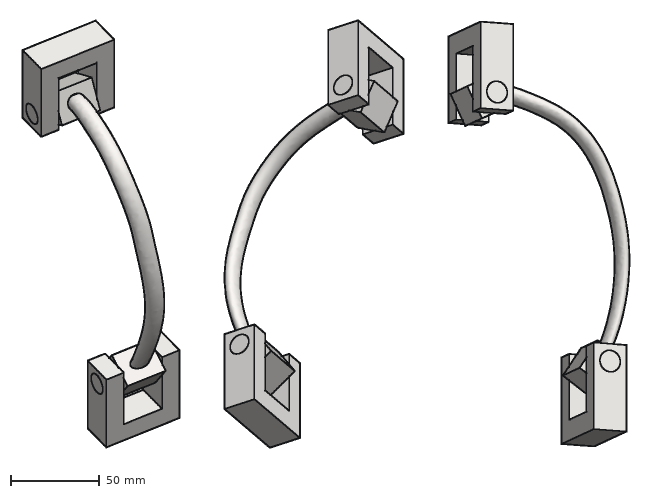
import cadquery as cq
import math

clevis_width = 20.0
clevis_span = 49.0
clevis_height = 50.0
slot_width = 25.5
bridge_thickness = 12.0
overall_height = 230.0

block_side = 20.0
pin_diameter = 12.5
pin_to_arm_end = clevis_width / 2
lower_tilt = -33.7
upper_tilt = 26.6

upper_pin_x = -69.0
pin_to_bridge_face = clevis_height - pin_to_arm_end
upper_pin_z = overall_height - 2 * pin_to_bridge_face

hose_start_width = 11.5
hose_start_thickness = 10.1
hose_end_width = 12.5
hose_end_thickness = 7.0
hose_overlap = 1.8
hose_start_y = -0.2
hose_end_y = 0.7
hose_section_count = 13
hose_waypoints = [
    (-47.0, -0.5, 152.7),
    (-30.3, -1.0, 147.4),
    (-19.0, -1.4, 141.8),
    (-8.0, -1.5, 133.0),
    (3.5, -0.5, 118.0),
    (12.0, 0.5, 97.2),
    (17.5, 2.0, 72.9),
    (17.7, 2.8, 52.2),
    (13.8, 1.8, 31.3),
]


def make_clevis(pin_x, pin_z, bridge_side):
    """Clevis around a pin axis; bridge_side is +1 for a bridge above, -1 for below."""
    center_z = pin_z + bridge_side * (clevis_height / 2 - pin_to_arm_end)
    frame = cq.Workplane().box(clevis_width, clevis_span, clevis_height)
    slot = cq.Workplane().box(clevis_width, slot_width, clevis_height)
    slot = slot.translate((0, 0, -bridge_side * bridge_thickness))
    clevis = frame.cut(slot).translate((pin_x, 0, center_z))
    return clevis.cut(make_pin(pin_x, pin_z))


def make_pin(pin_x, pin_z):
    """Round bar along Y, flush with the outer faces of the clevis arms."""
    pin = cq.Workplane("XZ").circle(pin_diameter / 2).extrude(clevis_span / 2, both=True)
    return pin.translate((pin_x, 0, pin_z))


def make_trunnion(pin_x, pin_z, tilt):
    """Tilted square block that fills the clevis slot, with its pin ends."""
    block = cq.Workplane().box(block_side, slot_width, block_side)
    block = block.rotate((0, 0, 0), (0, 1, 0), -tilt).translate((pin_x, 0, pin_z))
    return block.union(make_pin(pin_x, pin_z))


def make_hose_section(path, fraction, width, thickness):
    """Elliptical wire square to the path, with its width as near to Y as the path allows."""
    center = path.positionAt(fraction)
    tangent = path.tangentAt(fraction)
    across = cq.Vector(0, 1, 0) - tangent * tangent.y
    return cq.Wire.makeEllipse(width / 2, thickness / 2, center, tangent, across)


def make_hose(upper_trunnion, lower_trunnion):
    """Curved hose between the facing sides of the two tilted blocks."""
    reach = block_side / 2 - hose_overlap
    upper_angle = math.radians(upper_tilt)
    lower_angle = math.radians(90 + lower_tilt)
    start = (
        upper_pin_x + reach * math.cos(upper_angle),
        hose_start_y,
        upper_pin_z + reach * math.sin(upper_angle),
    )
    end = (reach * math.cos(lower_angle), hose_end_y, reach * math.sin(lower_angle))
    path = cq.Edge.makeSpline([cq.Vector(*point) for point in [start, *hose_waypoints, end]])
    sections = []
    for station in range(hose_section_count):
        fraction = station / (hose_section_count - 1)
        width = hose_start_width + fraction * (hose_end_width - hose_start_width)
        thickness = hose_start_thickness + fraction * (hose_end_thickness - hose_start_thickness)
        sections.append(make_hose_section(path, fraction, width, thickness))
    hose = cq.Solid.makeLoft(sections)
    return cq.Workplane(hose).cut(upper_trunnion).cut(lower_trunnion)


lower_clevis = make_clevis(0, 0, -1)
upper_clevis = make_clevis(upper_pin_x, upper_pin_z, 1)
lower_trunnion = make_trunnion(0, 0, lower_tilt)
upper_trunnion = make_trunnion(upper_pin_x, upper_pin_z, upper_tilt)
hose = make_hose(upper_trunnion, lower_trunnion)

result = cq.Compound.makeCompound([
    lower_clevis.solids().val(),
    upper_clevis.solids().val(),
    lower_trunnion.solids().val(),
    upper_trunnion.solids().val(),
    hose.solids().val(),
])